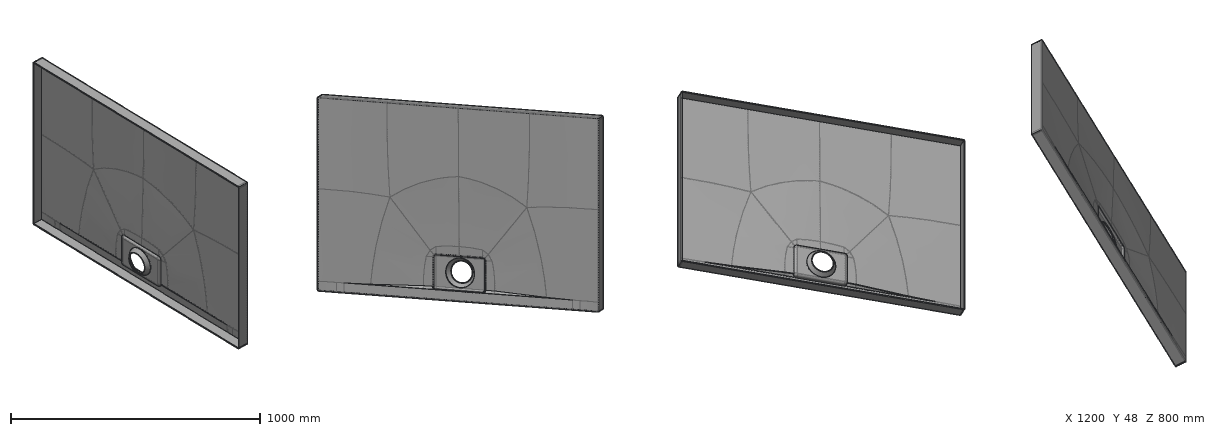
import cadquery as cq
import math


LENGTH = 1200.0
DEPTH = 48.0
HEIGHT = 800.0
SKIRT_THICKNESS = 5.0
PANEL_THICKNESS = 5.0
CORNER_RADIUS = 8.0
BACK_EDGE_RADIUS = 3.0

BACK_Y = DEPTH / 2
FRONT_Y = -DEPTH / 2
INNER_X = LENGTH / 2 - SKIRT_THICKNESS
INNER_Z = HEIGHT / 2 - SKIRT_THICKNESS

RIM_Y = BACK_Y - PANEL_THICKNESS
STRIP_TOP_Y = RIM_Y - 2.8
HIP_Y = 17.0
ARCH_Y = 15.0
BOTTOM_CREASE_Y = 14.0
RING_Y = 7.0
LIP_Y = 6.0

TOP_CREASE_X = 303.0
SIDE_CREASE_Z = 22.0
HIP_X = 291.0
HIP_Z = 9.0
ARCH_Z = 114.0
BOTTOM_CREASE_X = 374.0
BOTTOM_CREASE_Z = -355.5

TOP_CREASE_BOW = (-301.0, 18.0, 200.0)
SIDE_CREASE_BOW = (-420.0, 18.0, 19.0)
ARCH_BOW = (-148.0, 16.2, 82.0)
BOTTOM_CREASE_BOW = (-346.0, 15.8, -175.0)
SIDE_FACE_POINT = (-470.0, 17.2, -170.0)

STRIP_END_X = 517.0
STRIP_START_X = 486.0
STRIP_SIDE_Z = -358.0
STRIP_TOP_Z = -358.0
PANEL_BOTTOM_Z = -347.0

WELL_HALF_WIDTH = 113.0
WELL_TOP_Z = -212.0
WELL_BOTTOM_Z = -360.0
WELL_FLOOR_Y = -3.0
WELL_CORNER_RADIUS = 13.5
WELL_EDGE_RADIUS = 11.0

RING_TOP_Z = -175.0
RING_HALF_WIDTH = 151.0
RING_TOP_SAG = 7.0
RING_TOP_BOW_X = -55.0
RING_TOP_BOW_SAG = 2.0
RING_CORNER_OFFSET = 24.0
RING_SIDE_LEAN = 11.0
RING_SIDE_BOW_Z = -270.0
RING_SIDE_BOW_LEAN = 3.0

DRAIN_Z = -286.0
DRAIN_BASE_RADIUS = 61.0
DRAIN_TIP_RADIUS = 47.0
DRAIN_HOLE_RADIUS = 44.5
DRAIN_TIP_Y = -20.0


def line(start, end):
    return cq.Edge.makeLine(cq.Vector(*start), cq.Vector(*end))


def curve(*points):
    return cq.Edge.makeSpline([cq.Vector(*point) for point in points])


def arc(start, middle, end):
    return cq.Edge.makeThreePointArc(cq.Vector(*start), cq.Vector(*middle), cq.Vector(*end))


def filled_face(*edges, inner_points=()):
    """Smooth face inside a loop of edges, passing through the given inner points."""
    return cq.Face.makeNSidedSurface(list(edges), [cq.Vector(*point) for point in inner_points])


def flat_face(*edges):
    return cq.Face.makeFromWires(cq.Wire.assembleEdges(list(edges)))


def half_panel_underside():
    """Faces of the panel underside for X <= 0, and the rim edges that bound them."""
    top_middle = (0, RIM_Y, INNER_Z)
    top_crease = (-TOP_CREASE_X, RIM_Y, INNER_Z)
    top_corner = (-INNER_X, RIM_Y, INNER_Z)
    side_crease = (-INNER_X, RIM_Y, SIDE_CREASE_Z)
    strip_side = (-INNER_X, RIM_Y, STRIP_SIDE_Z)
    bottom_corner = (-INNER_X, RIM_Y, -INNER_Z)
    strip_end_low = (-STRIP_END_X, RIM_Y, -INNER_Z)
    strip_start_low = (-STRIP_START_X, RIM_Y, -INNER_Z)
    bottom_middle = (0, RIM_Y, -INNER_Z)

    hip = (-HIP_X, HIP_Y, HIP_Z)
    arch_top = (0, ARCH_Y, ARCH_Z)
    bottom_crease = (-BOTTOM_CREASE_X, BOTTOM_CREASE_Y, BOTTOM_CREASE_Z)
    strip_start = (-STRIP_START_X, STRIP_TOP_Y, STRIP_TOP_Z)
    end_share = (INNER_X - STRIP_END_X) / (INNER_X - STRIP_START_X)
    strip_end = (
        -STRIP_END_X,
        RIM_Y + end_share * (STRIP_TOP_Y - RIM_Y),
        STRIP_SIDE_Z + end_share * (STRIP_TOP_Z - STRIP_SIDE_Z),
    )
    strip_below_crease = (-BOTTOM_CREASE_X, STRIP_TOP_Y, STRIP_TOP_Z)
    strip_below_ring = (-RING_HALF_WIDTH, STRIP_TOP_Y, STRIP_TOP_Z)
    strip_middle = (0, STRIP_TOP_Y, STRIP_TOP_Z)

    corner_x = -WELL_HALF_WIDTH + WELL_CORNER_RADIUS
    corner_z = WELL_TOP_Z - WELL_CORNER_RADIUS
    half_corner = WELL_CORNER_RADIUS * math.sqrt(0.5)
    quarter_long = WELL_CORNER_RADIUS * math.cos(math.pi / 8)
    quarter_short = WELL_CORNER_RADIUS * math.sin(math.pi / 8)
    lip_middle = (0, LIP_Y, WELL_TOP_Z)
    lip_top = (corner_x, LIP_Y, WELL_TOP_Z)
    lip_corner = (corner_x - half_corner, LIP_Y, corner_z + half_corner)
    lip_side = (-WELL_HALF_WIDTH, LIP_Y, corner_z)
    lip_low = (-WELL_HALF_WIDTH, LIP_Y, PANEL_BOTTOM_Z)
    lip_low_middle = (0, LIP_Y, PANEL_BOTTOM_Z)

    ring_middle = (0, RING_Y, RING_TOP_Z)
    ring_top = (corner_x, RING_Y, RING_TOP_Z - RING_TOP_SAG)
    ring_corner = (corner_x - RING_CORNER_OFFSET, RING_Y, RING_TOP_Z - RING_CORNER_OFFSET)
    ring_side = (-RING_HALF_WIDTH + RING_SIDE_LEAN, RING_Y, corner_z)
    ring_low = (-RING_HALF_WIDTH, RING_Y, PANEL_BOTTOM_Z)

    rim_top_inner = line(top_middle, top_crease)
    rim_top_outer = line(top_crease, top_corner)
    rim_side_upper = line(top_corner, side_crease)
    rim_side_lower = line(side_crease, strip_side)
    rim_strip_side = line(strip_side, bottom_corner)
    rim_bottom_outer = line(bottom_corner, strip_end_low)
    rim_bottom_blend = line(strip_end_low, strip_start_low)
    rim_bottom_inner = line(strip_start_low, bottom_middle)
    rim = [
        rim_top_inner, rim_top_outer, rim_side_upper, rim_side_lower,
        rim_strip_side, rim_bottom_outer, rim_bottom_blend, rim_bottom_inner,
    ]

    crease_middle_upper = line(top_middle, arch_top)
    crease_middle_lower = line(arch_top, ring_middle)
    crease_top = curve(top_crease, TOP_CREASE_BOW, hip)
    crease_side = curve(side_crease, SIDE_CREASE_BOW, hip)
    crease_arch = curve(hip, ARCH_BOW, arch_top)
    crease_bottom = curve(hip, BOTTOM_CREASE_BOW, bottom_crease)
    crease_well = line(hip, ring_corner)
    strip_edge_end = line(strip_side, strip_end)
    strip_edge_blend = line(strip_end, strip_start)
    panel_edge_outer = line(strip_start, bottom_crease)
    panel_edge_inner = line(bottom_crease, ring_low)

    ring_top_bow = (RING_TOP_BOW_X, RING_Y, RING_TOP_Z - RING_TOP_BOW_SAG)
    ring_side_bow = (-RING_HALF_WIDTH + RING_SIDE_BOW_LEAN, RING_Y, RING_SIDE_BOW_Z)
    ring_arc_top = curve(ring_middle, ring_top_bow, ring_top)
    ring_arc_upper = line(ring_top, ring_corner)
    ring_arc_lower = line(ring_corner, ring_side)
    ring_arc_side = curve(ring_side, ring_side_bow, ring_low)
    ring_spoke_middle = line(ring_middle, lip_middle)
    ring_spoke_top = line(ring_top, lip_top)
    ring_spoke_corner = line(ring_corner, lip_corner)
    ring_spoke_side = line(ring_side, lip_side)
    ring_spoke_low = line(ring_low, lip_low)
    lip_edge_top = line(lip_middle, lip_top)
    lip_arc_upper = arc(lip_top, (corner_x - quarter_short, LIP_Y, corner_z + quarter_long), lip_corner)
    lip_arc_lower = arc(lip_corner, (corner_x - quarter_long, LIP_Y, corner_z + quarter_short), lip_side)
    lip_edge_side = line(lip_side, lip_low)
    lip_edge_low = line(lip_low, lip_low_middle)
    lip_edge_middle = line(lip_low_middle, lip_middle)

    strip_line_end = line(strip_end, strip_end_low)
    strip_line_start = line(strip_start, strip_start_low)
    strip_line_middle = line(strip_middle, bottom_middle)
    strip_edge_outer = line(strip_start, strip_below_crease)
    strip_edge_inner = line(strip_below_crease, strip_below_ring)
    strip_edge_well = line(strip_below_ring, strip_middle)
    riser_outer = line(strip_below_crease, bottom_crease)
    riser_inner = line(strip_below_ring, ring_low)
    riser_middle = line(strip_middle, lip_low_middle)

    faces = [
        filled_face(rim_top_outer, rim_side_upper, crease_side, crease_top),
        filled_face(rim_top_inner, crease_top, crease_arch, crease_middle_upper),
        filled_face(
            rim_side_lower, strip_edge_end, strip_edge_blend, panel_edge_outer, crease_bottom, crease_side,
            inner_points=[SIDE_FACE_POINT],
        ),
        filled_face(crease_arch, crease_middle_lower, ring_arc_top, ring_arc_upper, crease_well),
        filled_face(crease_well, ring_arc_lower, ring_arc_side, panel_edge_inner, crease_bottom),
        filled_face(ring_arc_top, ring_spoke_top, lip_edge_top, ring_spoke_middle),
        filled_face(ring_arc_upper, ring_spoke_corner, lip_arc_upper, ring_spoke_top),
        filled_face(ring_arc_lower, ring_spoke_side, lip_arc_lower, ring_spoke_corner),
        filled_face(ring_arc_side, ring_spoke_low, lip_edge_side, ring_spoke_side),
        flat_face(lip_edge_top, lip_arc_upper, lip_arc_lower, lip_edge_side, lip_edge_low, lip_edge_middle),
        filled_face(rim_strip_side, rim_bottom_outer, strip_line_end, strip_edge_end),
        filled_face(strip_line_end, rim_bottom_blend, strip_line_start, strip_edge_blend),
        flat_face(
            strip_line_start, rim_bottom_inner, strip_line_middle,
            strip_edge_well, strip_edge_inner, strip_edge_outer,
        ),
        flat_face(panel_edge_outer, riser_outer, strip_edge_outer),
        filled_face(panel_edge_inner, riser_inner, strip_edge_inner, riser_outer),
        filled_face(ring_spoke_low, lip_edge_low, riser_middle, strip_edge_well, riser_inner),
    ]
    return faces, rim


def space_beside_panel(end_y):
    """Solid between the sloped underside of the panel and a flat plane at the given Y."""
    faces, rim = half_panel_underside()
    faces += [face.mirror("YZ") for face in faces]
    rim += [edge.mirror("YZ") for edge in rim]
    drop = cq.Vector(0, end_y - RIM_Y, 0)
    walls = [cq.Face.makeRuledSurface(edge, edge.translate(drop)) for edge in rim]
    end_face = flat_face(*[edge.translate(drop) for edge in rim])
    shell = cq.Shell.makeShell(faces + walls + [end_face])
    return cq.Workplane(cq.Solid.makeSolid(shell))


def upright_box(half_width, bottom_z, top_z, front_y, back_y):
    return cq.Workplane("XY").box(
        2 * half_width, back_y - front_y, top_z - bottom_z
    ).translate((0, (front_y + back_y) / 2, (bottom_z + top_z) / 2))


def slab():
    """Rounded block of the tray's full size."""
    block = upright_box(LENGTH / 2, -HEIGHT / 2, HEIGHT / 2, FRONT_Y, BACK_Y)
    block = block.edges("|Y").fillet(CORNER_RADIUS)
    return block.faces(">Y").edges().fillet(BACK_EDGE_RADIUS)


def well_block(inset, floor_y):
    """Rounded block of the drain well, shrunk by the inset, from its floor to the bathing side."""
    block = upright_box(
        WELL_HALF_WIDTH - inset, WELL_BOTTOM_Z + inset, WELL_TOP_Z - inset, floor_y, BACK_Y
    )
    block = block.edges("|Y").fillet(WELL_CORNER_RADIUS - inset)
    return block.faces("<Y").edges().fillet(WELL_EDGE_RADIUS - inset)


def drain_cone(base_y, base_radius, tip_y, tip_radius):
    """Cone along Y, narrowing toward the underside."""
    return cq.Workplane(
        cq.Solid.makeCone(
            base_radius, tip_radius, base_y - tip_y, cq.Vector(0, base_y, DRAIN_Z), cq.Vector(0, -1, 0)
        )
    )


underside_space = space_beside_panel(FRONT_Y)
bathing_space = space_beside_panel(BACK_Y).translate((0, PANEL_THICKNESS, 0))
well_floor_back_y = WELL_FLOOR_Y + PANEL_THICKNESS

result = slab().cut(underside_space).union(well_block(0, WELL_FLOOR_Y))
result = result.union(drain_cone(WELL_FLOOR_Y, DRAIN_BASE_RADIUS, DRAIN_TIP_Y, DRAIN_TIP_RADIUS))
result = result.cut(bathing_space)
result = result.cut(well_block(PANEL_THICKNESS, well_floor_back_y))
result = result.cut(drain_cone(well_floor_back_y, DRAIN_BASE_RADIUS, DRAIN_TIP_Y, DRAIN_HOLE_RADIUS))